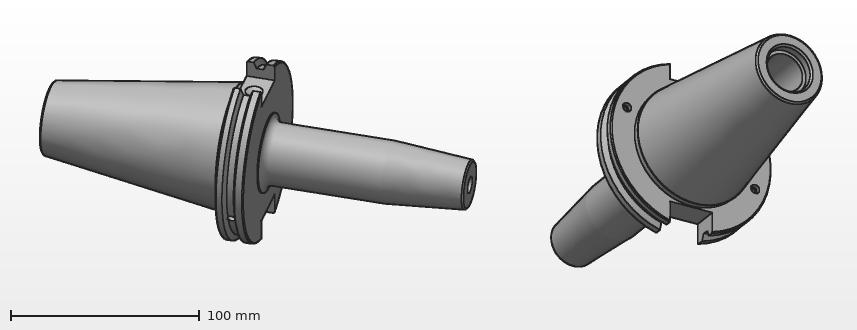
import cadquery as cq
import math

total_length = 231.5
taper_end = 101.2
flange_start = 105.0
flange_end = 120.5
neck_end = 125.8
nose_start = 187.5

drill_point_half_angle = 59

taper_large_dia = 70.0
taper_slope = 7 / 48
taper_edge_chamfer = 1.0
collar_dia = 69.2
shank_dia = 34.0
neck_fillet = 4.6
nose_end_dia = 27.0
nose_edge_chamfer = 1.0

flange_dia = 98.2
flange_edge_chamfer = 0.7
groove_floor_dia = 91.3
groove_floor_width = 3.7
groove_wall_width = 1.6
groove_center = 112.3

slot_width = 25.7
upper_slot_floor = 38.0
lower_slot_floor = 35.2
slot_hole_dia = 9.5

counterbore_dia = 26.2
counterbore_chamfer = 1.2
counterbore_depth = 5.5
thread_bore_dia = 22.0
thread_bore_end = 46.3
through_dia = 9.0

port_angle = 20
port_circle_radius = 41.7
port_mouth_dia = 5.0
port_mouth_depth = 2.8
port_dia = 3.2
radial_port_dia = 4.2


def revolve_about_x(profile):
    """Revolve a closed profile, drawn as (axial, radial), about the X axis."""
    return profile.close().revolve(360, (0, 0, 0), (1, 0, 0))


def make_body():
    flange_r = flange_dia / 2
    floor_r = groove_floor_dia / 2
    shank_r = shank_dia / 2
    nose_r = nose_end_dia / 2
    taper_r = taper_large_dia / 2
    half_floor = groove_floor_width / 2
    half_mouth = half_floor + groove_wall_width
    fillet_mid = neck_fillet * (1 - math.sqrt(0.5))
    fillet_start = neck_end - neck_fillet

    def taper_radius(x):
        return taper_r - taper_slope * (taper_end - x)

    profile = (
        cq.Workplane("XY")
        .moveTo(0, 0)
        .lineTo(0, taper_radius(0) - taper_edge_chamfer)
        .lineTo(taper_edge_chamfer, taper_radius(taper_edge_chamfer))
        .lineTo(taper_end, taper_r)
        .lineTo(taper_end, collar_dia / 2)
        .lineTo(flange_start, collar_dia / 2)
        .lineTo(flange_start, flange_r - flange_edge_chamfer)
        .lineTo(flange_start + flange_edge_chamfer, flange_r)
        .lineTo(groove_center - half_mouth, flange_r)
        .lineTo(groove_center - half_floor, floor_r)
        .lineTo(groove_center + half_floor, floor_r)
        .lineTo(groove_center + half_mouth, flange_r)
        .lineTo(flange_end - flange_edge_chamfer, flange_r)
        .lineTo(flange_end, flange_r - flange_edge_chamfer)
        .lineTo(flange_end, shank_r + neck_fillet)
        .lineTo(fillet_start, shank_r + neck_fillet)
        .threePointArc((fillet_start + fillet_mid, shank_r + fillet_mid), (neck_end, shank_r))
        .lineTo(nose_start, shank_r)
        .lineTo(total_length - nose_edge_chamfer, nose_r)
        .lineTo(total_length, nose_r - nose_edge_chamfer)
        .lineTo(total_length, 0)
    )
    return revolve_about_x(profile)


def make_bore():
    counterbore_r = counterbore_dia / 2
    thread_r = thread_bore_dia / 2
    through_r = through_dia / 2
    cone_length = (thread_r - through_r) / math.tan(math.radians(drill_point_half_angle))
    profile = (
        cq.Workplane("XY")
        .moveTo(0, 0)
        .lineTo(0, counterbore_r + counterbore_chamfer)
        .lineTo(counterbore_chamfer, counterbore_r)
        .lineTo(counterbore_depth, counterbore_r)
        .lineTo(counterbore_depth, thread_r)
        .lineTo(thread_bore_end, thread_r)
        .lineTo(thread_bore_end + cone_length, through_r)
        .lineTo(total_length, through_r)
        .lineTo(total_length, 0)
    )
    return revolve_about_x(profile)


def make_drive_slot(floor, side):
    """Slot across the flange, on the +Z side (side = 1) or the -Z side (side = -1)."""
    depth = flange_dia / 2 - floor
    return (
        cq.Workplane("XY")
        .box(flange_end - flange_start, slot_width, depth, centered=(False, True, False))
        .translate((flange_start, 0, floor if side > 0 else -floor - depth))
    )


def cylinder(dia, length, start, direction):
    solid = cq.Solid.makeCylinder(dia / 2, length, cq.Vector(*start), cq.Vector(*direction))
    return cq.Workplane(solid)


def make_slot_hole():
    """Conical drill spot in the floor of the upper slot."""
    middle = (flange_start + flange_end) / 2
    radius = slot_hole_dia / 2
    depth = radius / math.tan(math.radians(drill_point_half_angle))
    floor_point = cq.Vector(middle, 0, upper_slot_floor)
    return cq.Workplane(cq.Solid.makeCone(radius, 0, depth, floor_point, cq.Vector(0, 0, -1)))


def make_coolant_port(angle):
    y = math.cos(math.radians(angle))
    z = math.sin(math.radians(angle))
    start = (flange_start, port_circle_radius * y, port_circle_radius * z)
    meeting_point = (groove_center, start[1], start[2])
    mouth = cylinder(port_mouth_dia, port_mouth_depth, start, (1, 0, 0))
    axial = cylinder(port_dia, groove_center - flange_start, start, (1, 0, 0))
    radial = cylinder(radial_port_dia, flange_dia / 2 - port_circle_radius, meeting_point, (0, y, z))
    return mouth.union(axial).union(radial)


result = make_body().cut(make_bore())
for floor, side in ((upper_slot_floor, 1), (lower_slot_floor, -1)):
    result = result.cut(make_drive_slot(floor, side))
result = result.cut(make_slot_hole())
for angle in (port_angle, port_angle + 180):
    result = result.cut(make_coolant_port(angle))